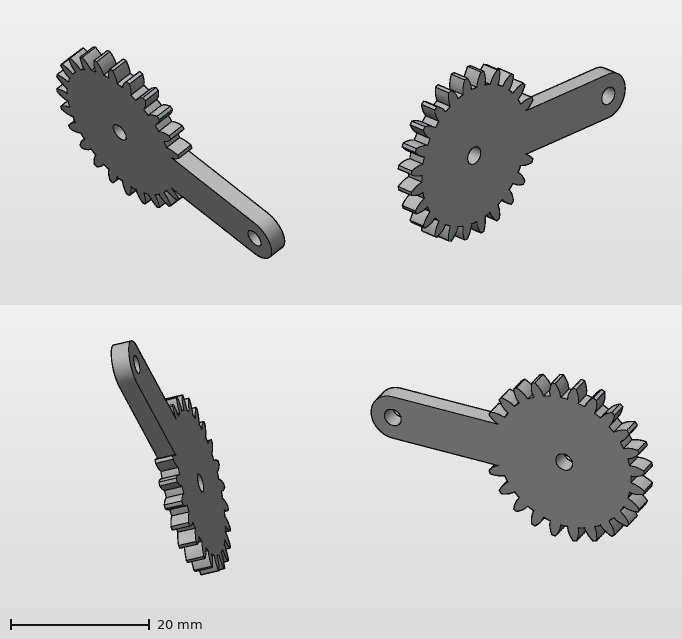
import cadquery as cq
import math

thickness = 2.7
tooth_count = 24
tip_radius = 13.0
root_radius = 10.8
base_radius = 11.25
base_half_angle = 4.3
root_half_angle = 4.7
tooth_pitch = 360 / tooth_count

overall_length = 44.05
arm_width = 7.0
arm_end_radius = arm_width / 2

hole_diameter = 2.7

plate_plane = cq.Workplane("XZ", origin=(0, thickness / 2, 0))
tooth_embedding = 0.45


def polar(radius, angle):
    """Point at a radius and an angle in degrees from the tooth's centre line."""
    return (
        radius * math.cos(math.radians(angle)),
        radius * math.sin(math.radians(angle)),
    )


def involute_point(radius, side):
    """Flank point at a radius; side is -1 or +1 about the centre line."""
    pressure_angle = math.acos(base_radius / radius)
    unwound = math.degrees(math.tan(pressure_angle) - pressure_angle)
    return polar(radius, side * (base_half_angle - unwound))


def make_tooth():
    """One tooth pointing along +X, with involute flanks and a round tip."""
    flank_steps = 5
    radii = [
        base_radius + (tip_radius - base_radius) * step / flank_steps
        for step in range(flank_steps + 1)
    ]
    lower_flank = [involute_point(radius, -1) for radius in radii]
    upper_flank = [involute_point(radius, 1) for radius in reversed(radii)]
    inner_radius = root_radius - tooth_embedding
    outline = (
        plate_plane
        .moveTo(*polar(inner_radius, -root_half_angle))
        .lineTo(*polar(root_radius, -root_half_angle))
        .lineTo(*lower_flank[0])
        .spline(lower_flank[1:], includeCurrent=True)
        .threePointArc((tip_radius, 0), upper_flank[0])
        .spline(upper_flank[1:], includeCurrent=True)
        .lineTo(*polar(root_radius, root_half_angle))
        .lineTo(*polar(inner_radius, root_half_angle))
        .close()
    )
    return outline.extrude(thickness)


def make_gear():
    gear = plate_plane.circle(root_radius).extrude(thickness)
    tooth = make_tooth()
    for index in range(tooth_count):
        angle = (index + 0.5) * tooth_pitch
        gear = gear.union(tooth.rotate((0, 0, 0), (0, 1, 0), angle))
    return gear


def make_arm(arm_length):
    """Straight bar from the gear centre with a semicircular outer end."""
    outline = (
        plate_plane
        .moveTo(0, -arm_width / 2)
        .lineTo(arm_length, -arm_width / 2)
        .threePointArc((arm_length + arm_end_radius, 0), (arm_length, arm_width / 2))
        .lineTo(0, arm_width / 2)
        .close()
    )
    return outline.extrude(thickness)


tip_corner_x, tip_corner_z = involute_point(tip_radius, 1)
tip_half_angle = math.degrees(math.atan2(tip_corner_z, tip_corner_x))
gear_reach = tip_radius * math.cos(math.radians(tooth_pitch / 2 - tip_half_angle))
arm_length = overall_length - gear_reach - arm_end_radius

hole_centres = [(0, 0), (arm_length, 0)]
holes = plate_plane.pushPoints(hole_centres).circle(hole_diameter / 2).extrude(thickness)

result = make_gear().union(make_arm(arm_length)).cut(holes)